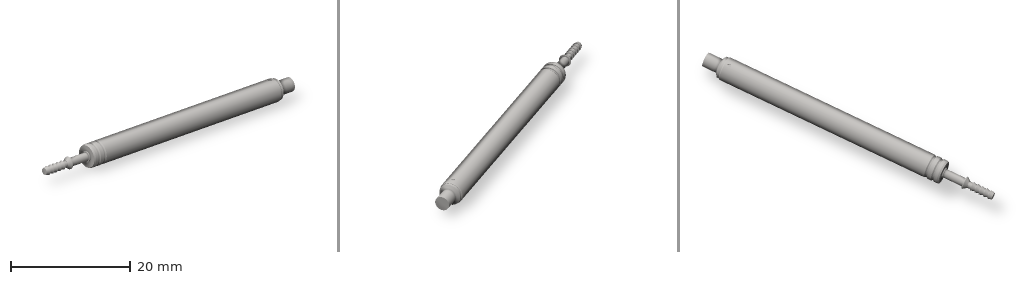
import cadquery as cq

overall_length = 54.4

tip_radius = 0.6
barb_diameter = 1.6
barb_radius = barb_diameter / 2
barb_count = 5
barb_pitch = 0.8
first_barb_edge = 0.7
barb_land = 0.15

collar_radius = 1.1
collar_cone_radius = 0.65
collar_cone_start = 4.7
collar_rim_start = 5.3
collar_end = 5.45
shaft_radius = 0.75

boss_radius = 1.0
boss_start = 9.15
barrel_start = 9.35
barrel_diameter = 4.2
barrel_radius = barrel_diameter / 2
rear_chamfer_length = 0.3
rear_chamfer_depth = 0.1

groove_starts = (10.2, 11.5)
groove_flat = 0.3
groove_ramp = 0.2
groove_depth = 0.15

plunger_diameter = 2.55
plunger_radius = plunger_diameter / 2
plunger_length = 2.6
nose_cone_length = 0.45
nose_diameter = 3.85
nose_radius = nose_diameter / 2
nose_length = 0.45
front_chamfer_length = 0.15
front_chamfer_depth = 0.1

dimple_radius = 0.3
dimple_depth = 0.1
dimple_station = 49.95


def tail_points():
    """Tip, barbs with a square shoulder at +Y, and the neck up to the collar."""
    points = [(0, 0), (tip_radius, 0)]
    for index in range(barb_count):
        shoulder = first_barb_edge + index * barb_pitch
        points.append((barb_radius, shoulder))
        points.append((tip_radius, shoulder))
        if index < barb_count - 1:
            points.append((tip_radius, shoulder + barb_land))
    return points


def shaft_points():
    """Coned collar, plain shaft and the boss on the barrel end."""
    return [
        (tip_radius, collar_cone_start),
        (collar_cone_radius, collar_cone_start),
        (collar_radius, collar_rim_start),
        (collar_radius, collar_end),
        (shaft_radius, collar_end),
        (shaft_radius, boss_start),
        (boss_radius, boss_start),
        (boss_radius, barrel_start),
    ]


def barrel_points():
    """Chamfered barrel end followed by the grooves, each ramped on its +Y side."""
    points = [
        (barrel_radius - rear_chamfer_depth, barrel_start),
        (barrel_radius, barrel_start + rear_chamfer_length),
    ]
    groove_radius = barrel_radius - groove_depth
    for start in groove_starts:
        points.append((barrel_radius, start))
        points.append((groove_radius, start))
        points.append((groove_radius, start + groove_flat))
        points.append((barrel_radius, start + groove_flat + groove_ramp))
    return points


def nose_points():
    """Front chamfer, stepped nose, cone and plunger."""
    plunger_base = overall_length - plunger_length
    nose_front = plunger_base - nose_cone_length
    nose_base = nose_front - nose_length
    return [
        (barrel_radius, nose_base - front_chamfer_length),
        (barrel_radius - front_chamfer_depth, nose_base),
        (nose_radius, nose_base),
        (nose_radius, nose_front),
        (plunger_radius, plunger_base),
        (plunger_radius, overall_length),
        (0, overall_length),
    ]


def index_dimple():
    """Cutter for the flat-bottomed round dimple, entering from +Z."""
    floor_height = barrel_radius - dimple_depth
    cutter = cq.Workplane("XY").circle(dimple_radius).extrude(2 * dimple_depth)
    return cutter.translate((0, dimple_station, floor_height))


profile = tail_points() + shaft_points() + barrel_points() + nose_points()
pin = cq.Workplane("XY").polyline(profile).close().revolve(360, (0, 0, 0), (0, 1, 0))
pin = pin.cut(index_dimple())

result = pin.translate((0, -overall_length / 2, 0))